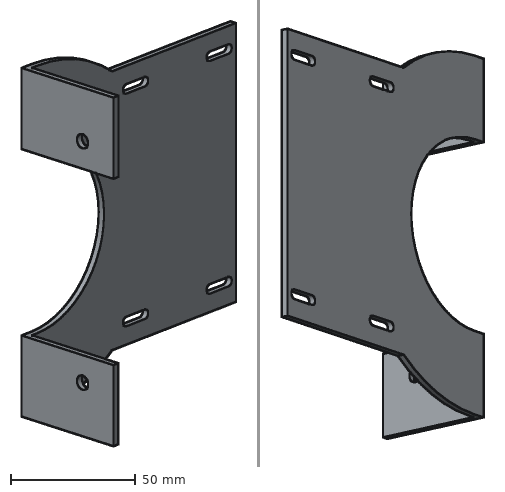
import cadquery as cq
import math

height = 150.0
depth = 125.0
flange_length = 50.0
thickness = 3.0
plate_height = 120.0
opening_radius = 40.0
arc_center_y = 6.0

slot_length = 15.0
slot_width = 4.0
slot_edge_distance = 10.0
slot_spacing_y = 50.0
slot_spacing_z = 100.0

hole_diameter = 6.0
hole_x = 33.2
hole_spacing_z = 103.8

shoulder_radius = height / 2


def make_plate():
    """Upright plate with arc shoulders and a U-shaped opening in the front edge."""
    half_plate = plate_height / 2
    shoulder_end_y = arc_center_y + math.sqrt(shoulder_radius**2 - half_plate**2)
    opening_bottom_y = arc_center_y + opening_radius
    return (
        cq.Workplane("YZ")
        .moveTo(0, opening_radius)
        .lineTo(0, shoulder_radius)
        .lineTo(arc_center_y, shoulder_radius)
        .radiusArc((shoulder_end_y, half_plate), shoulder_radius)
        .lineTo(depth, half_plate)
        .lineTo(depth, -half_plate)
        .lineTo(shoulder_end_y, -half_plate)
        .radiusArc((arc_center_y, -shoulder_radius), shoulder_radius)
        .lineTo(0, -shoulder_radius)
        .lineTo(0, -opening_radius)
        .lineTo(arc_center_y, -opening_radius)
        .threePointArc((opening_bottom_y, 0), (arc_center_y, opening_radius))
        .close()
        .extrude(thickness)
    )


def make_flanges():
    """Two front flanges, above and below the opening."""
    flange_height = shoulder_radius - opening_radius
    flange_center_z = (shoulder_radius + opening_radius) / 2
    return (
        cq.Workplane("XZ")
        .pushPoints([(flange_length / 2, side * flange_center_z) for side in (-1, 1)])
        .rect(flange_length, flange_height)
        .extrude(-thickness)
    )


def make_slots():
    """Four mounting slots, elongated along Y."""
    slot_center_y = depth - slot_edge_distance - slot_spacing_y / 2
    return (
        cq.Workplane("YZ")
        .center(slot_center_y, 0)
        .rarray(slot_spacing_y, slot_spacing_z, 2, 2)
        .slot2D(slot_length, slot_width)
        .extrude(thickness)
    )


def make_flange_holes():
    """One through hole in each flange."""
    hole_points = [(hole_x, side * hole_spacing_z / 2) for side in (-1, 1)]
    return (
        cq.Workplane("XZ")
        .pushPoints(hole_points)
        .circle(hole_diameter / 2)
        .extrude(-thickness)
    )


bracket = make_plate().union(make_flanges())
result = bracket.cut(make_slots()).cut(make_flange_holes())